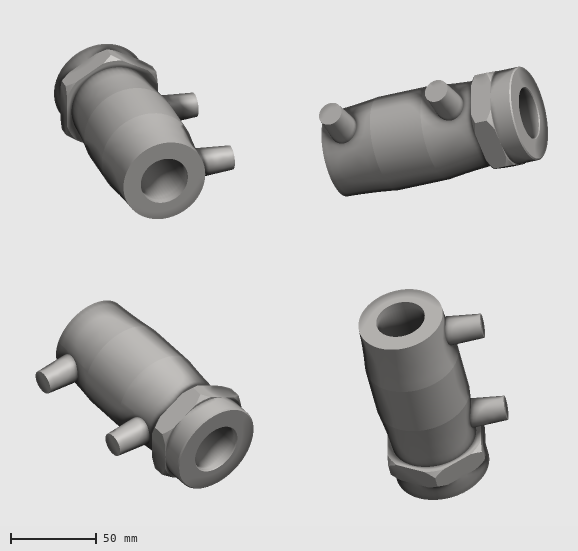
import cadquery as cq
import math

length = 122.0
body_diameter = 56.0
small_diameter = 50.5
bore_diameter = 29.0
bore_entry_diameter = 31.2
bore_entry_chamfer = 0.6
counterbore_diameter = 30.3
collar_chamfer = 0.7

nut_start = 12.6
nut_width = 12.7
nut_chamfer = 2.8
nut_across_flats = body_diameter
nut_across_corners = nut_across_flats / math.cos(math.pi / 6)

taper_length = 32.2
flare_sag = 0.4
peg_spacing = 67.7
first_peg_x = 39.5
peg_tip_diameter = 14.4
peg_base_diameter = 17.7
peg_height = 18.0
peg_embed = 4.9

body_radius = body_diameter / 2
small_radius = small_diameter / 2
nut_end = nut_start + nut_width
barrel_end = length - taper_length
barrel_start = nut_end + taper_length
counterbore_depth = barrel_start


def flare_midpoint(small_x, large_x):
    """Middle point of a flare arc, which dips slightly below its chord."""
    return ((small_x + large_x) / 2, (small_radius + body_radius) / 2 - flare_sag)


def make_body():
    """Revolved collar, concave flare, cylindrical barrel and matching concave taper."""
    return (
        cq.Workplane("XY")
        .lineTo(0, body_radius - collar_chamfer)
        .lineTo(collar_chamfer, body_radius)
        .lineTo(nut_end, body_radius)
        .lineTo(nut_end, small_radius)
        .threePointArc(flare_midpoint(nut_end, barrel_start), (barrel_start, body_radius))
        .lineTo(barrel_end, body_radius)
        .threePointArc(flare_midpoint(length, barrel_end), (length, small_radius))
        .lineTo(length, 0)
        .close()
        .revolve(360, (0, 0, 0), (1, 0, 0))
    )


def make_nut():
    """Hexagon with corners up and down, its corners trimmed by a chamfered cylinder."""
    hexagon = (
        cq.Workplane("YZ", origin=(nut_start, 0, 0))
        .polygon(6, nut_across_corners)
        .extrude(nut_width)
        .rotate((0, 0, 0), (1, 0, 0), 90)
    )
    trim = (
        cq.Workplane("YZ", origin=(nut_start, 0, 0))
        .circle(nut_across_corners / 2)
        .extrude(nut_width)
        .edges()
        .chamfer(nut_chamfer)
    )
    return hexagon.intersect(trim)


def make_peg(x):
    """Conical peg pointing along +Y."""
    root_y = body_radius - peg_embed
    return (
        cq.Workplane("XZ", origin=(x, root_y, 0))
        .circle(peg_base_diameter / 2)
        .workplane(offset=-(peg_embed + peg_height))
        .circle(peg_tip_diameter / 2)
        .loft()
    )


def make_bore():
    """Through bore with a counterbore and chamfer at the collar end."""
    bore_radius = bore_diameter / 2
    counterbore_radius = counterbore_diameter / 2
    return (
        cq.Workplane("XY")
        .lineTo(0, bore_entry_diameter / 2)
        .lineTo(bore_entry_chamfer, counterbore_radius)
        .lineTo(counterbore_depth, counterbore_radius)
        .lineTo(counterbore_depth, bore_radius)
        .lineTo(length, bore_radius)
        .lineTo(length, 0)
        .close()
        .revolve(360, (0, 0, 0), (1, 0, 0))
    )


result = make_body().union(make_nut())
for peg_x in (first_peg_x, first_peg_x + peg_spacing):
    result = result.union(make_peg(peg_x))
result = result.cut(make_bore())